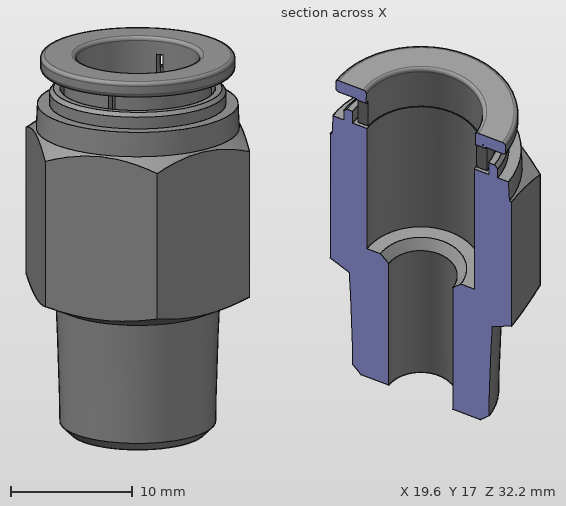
import cadquery as cq
import math

total_height = 32.2
tip_chamfer_height = 0.8
thread_top = 11.0
hex_corner_bottom = 12.45
hex_corner_top = 24.92
hex_top = 25.95
collar_top = 28.0
ring_top = 29.35
slot_top = 30.75
flange_bottom = 30.88
tube_stop = 14.5

across_flats = 17.0
corner_radius = across_flats / 2 / math.cos(math.pi / 6)

tip_radius = 5.6
thread_tip_radius = 6.4
thread_root_radius = 6.73
collar_bottom_radius = 8.35
collar_top_radius = 8.25
ring_radius = 7.25
ring_inner_radius = 6.38
neck_radius = 6.05
flange_radius = 8.0

ring_chamfer = 0.32
flange_fillet = 0.32
mouth_fillet = 0.32

passage_radius = 3.0
countersink_radius = 3.77
tube_bore_radius = 5.02
collet_bore_radius = 5.1

slot_width = 0.58


def revolve_profile(points):
    """Revolve a closed outline of (radius, height) points about the Z axis."""
    return cq.Workplane("XZ").polyline(points).close().revolve(360, (0, 0), (0, 1))


def cylinder(radius, bottom, top):
    """Upright cylinder on the Z axis between two heights."""
    return cq.Workplane("XY").workplane(offset=bottom).circle(radius).extrude(top - bottom)


def make_thread():
    """Tapered threaded end, plain without thread grooves, with a chamfered tip."""
    return revolve_profile([
        (0, 0),
        (tip_radius, 0),
        (thread_tip_radius, tip_chamfer_height),
        (thread_root_radius, thread_top),
        (0, thread_top),
    ])


def make_hexagon():
    """Hexagon with corners on the X axis, trimmed by a cone at each end."""
    prism = (
        cq.Workplane("XY").workplane(offset=thread_top)
        .polygon(6, 2 * corner_radius).extrude(hex_top - thread_top)
    )
    cone_limits = revolve_profile([
        (0, thread_top),
        (thread_root_radius, thread_top),
        (corner_radius, hex_corner_bottom),
        (corner_radius, hex_corner_top),
        (collar_bottom_radius, hex_top),
        (0, hex_top),
    ])
    return prism.intersect(cone_limits)


def make_collar():
    """Slightly tapered collar above the hexagon."""
    return revolve_profile([
        (0, hex_top),
        (collar_bottom_radius, hex_top),
        (collar_top_radius, collar_top),
        (0, collar_top),
    ])


def make_ring():
    """Guide ring with a chamfered rim, leaving a narrow annular gap around the neck."""
    ring = cylinder(ring_radius, collar_top, ring_top).faces(">Z").edges().chamfer(ring_chamfer)
    return ring.cut(cylinder(ring_inner_radius, collar_top, ring_top))


def make_release_collet():
    """Neck and rounded push flange of the release collet."""
    neck = cylinder(neck_radius, collar_top, flange_bottom)
    flange = cylinder(flange_radius, flange_bottom, total_height).edges().fillet(flange_fillet)
    return neck.union(flange)


def make_bore():
    """Tube socket with a countersunk passage through the thread."""
    countersink_bottom = tube_stop - (countersink_radius - passage_radius)
    return revolve_profile([
        (0, 0),
        (passage_radius, 0),
        (passage_radius, countersink_bottom),
        (countersink_radius, tube_stop),
        (tube_bore_radius, tube_stop),
        (tube_bore_radius, collar_top),
        (collet_bore_radius, collar_top),
        (collet_bore_radius, total_height),
        (0, total_height),
    ])


def make_slot():
    """Slit along Y through the neck, ending just below the flange."""
    return (
        cq.Workplane("XY").workplane(offset=collar_top)
        .rect(slot_width, 2 * neck_radius)
        .extrude(slot_top - collar_top)
    )


body = make_thread().union(make_hexagon()).union(make_collar())
body = body.union(make_ring()).union(make_release_collet())
body = body.cut(make_bore())
body = body.faces(">Z").edges(cq.selectors.RadiusNthSelector(0)).fillet(mouth_fillet)
result = body.cut(make_slot())